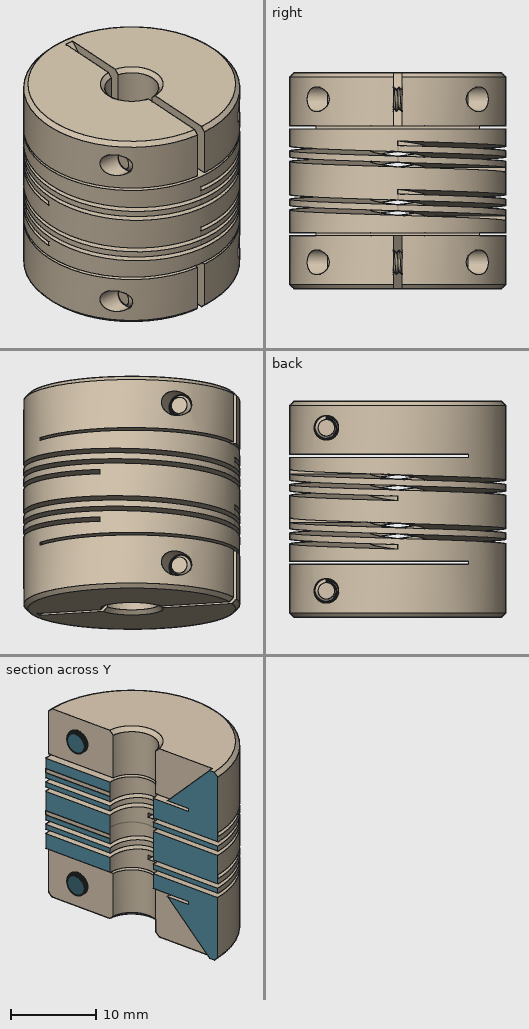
import cadquery as cq
import math

OUTER_DIAMETER = 25.4
LENGTH = 25.4
BORE_DIAMETER = 6.35
EDGE_CHAMFER = 0.5

OUTER_RADIUS = OUTER_DIAMETER / 2
HALF_LENGTH = LENGTH / 2
BORE_RADIUS = BORE_DIAMETER / 2
OVERCUT = 1.27

SLOT_HEIGHT = 0.53
SLOT_PITCH = 2.51
SLOT_TURNS = 1.25
SLOT_STARTS = 2
SLOT_GROUP_Z = 2.85
SLOT_END_ANGLE = 270.0

CROSS_SLIT_HEIGHT = 0.33
CROSS_SLIT_DEPTH = 6.43
CROSS_SLIT_X = -8.3
AXIAL_SLIT_WIDTH = 1.05
AXIAL_SLIT_X = -11.48

SCREW_X = 8.38
SCREW_END_DISTANCE = 3.12
SCREW_DIAMETER = 2.9
SCREW_CHAMFER = 0.48
THREAD_PITCH = 0.64
THREAD_TURNS = 26
THREAD_DEPTH = 0.33
SPIRAL_SPANS = 8

SCREW_LENGTH = THREAD_PITCH * THREAD_TURNS
SCREW_RADIUS = SCREW_DIAMETER / 2
SCREW_Z = HALF_LENGTH - SCREW_END_DISTANCE


def blank():
    """Bored cylinder with chamfered outer and bore edges."""
    return (
        cq.Workplane("XY")
        .circle(OUTER_RADIUS)
        .circle(BORE_RADIUS)
        .extrude(HALF_LENGTH, both=True)
        .faces("<Z or >Z")
        .edges()
        .chamfer(EDGE_CHAMFER)
    )


def helical_slot(group_z, start_angle):
    """Cutter for one helical slot, from the bore out through the outer surface."""
    rise = SLOT_PITCH * SLOT_TURNS
    inner = BORE_RADIUS - OVERCUT
    outer = OUTER_RADIUS + OVERCUT
    middle = (inner + outer) / 2
    path = cq.Wire.makeHelix(SLOT_PITCH, rise, middle, lefthand=True)
    return (
        cq.Workplane("XZ")
        .center(middle, 0)
        .rect(outer - inner, SLOT_HEIGHT)
        .sweep(path, isFrenet=True)
        .rotate((0, 0, 0), (0, 0, 1), start_angle)
        .translate((0, 0, group_z - rise / 2))
    )


def clamp_slits():
    """Cutter for the upper end: a cross slit, and an axial slit that opens into it."""
    reach = OUTER_RADIUS + OVERCUT
    slit_z = HALF_LENGTH - CROSS_SLIT_DEPTH
    cross_slit = (
        cq.Workplane("XY")
        .box(reach - CROSS_SLIT_X, 2 * reach, CROSS_SLIT_HEIGHT)
        .translate(((reach + CROSS_SLIT_X) / 2, 0, slit_z))
    )
    axial_slit = (
        cq.Workplane("XZ")
        .moveTo(AXIAL_SLIT_X - OVERCUT, HALF_LENGTH + OVERCUT)
        .lineTo(AXIAL_SLIT_X + CROSS_SLIT_DEPTH, slit_z)
        .lineTo(reach, slit_z)
        .lineTo(reach, HALF_LENGTH + OVERCUT)
        .close()
        .extrude(AXIAL_SLIT_WIDTH / 2, both=True)
    )
    return cross_slit.union(axial_slit)


def screw_hole():
    """Cutter for the upper clamp screw's hole, through the hub along Y."""
    return (
        cq.Workplane("XZ")
        .center(SCREW_X, SCREW_Z)
        .circle(SCREW_RADIUS)
        .extrude(OUTER_RADIUS, both=True)
    )


def make_hub():
    upper_clamp = clamp_slits().union(screw_hole())
    hub = blank().cut(upper_clamp).cut(upper_clamp.mirror("XY"))
    for group_z in (SLOT_GROUP_Z, -SLOT_GROUP_Z):
        for start in range(SLOT_STARTS):
            hub = hub.cut(helical_slot(group_z, SLOT_END_ANGLE + start * 360 / SLOT_STARTS))
    return hub


def thread_section(t):
    """Point on the thread's cross-section: a spiral out to the crest as t goes from 0 to 1 or -1."""
    radius = SCREW_RADIUS - THREAD_DEPTH * (1 - abs(t))
    angle = math.pi * t
    return radius * math.cos(angle), radius * math.sin(angle)


def end_chamfer():
    """Ring cutter that bevels the crest at a screw end standing on the XY plane."""
    flat_radius = SCREW_RADIUS - SCREW_CHAMFER
    return (
        cq.Workplane("XZ")
        .moveTo(flat_radius, 0)
        .lineTo(flat_radius + THREAD_PITCH, 0)
        .lineTo(flat_radius + THREAD_PITCH, THREAD_PITCH)
        .close()
        .revolve(360, (0, 0, 0), (0, 1, 0))
    )


def make_screw():
    """Headless screw, chamfered at both ends, with a right-handed V thread; axis along Y at the origin.

    Twisting the spiral cross-section one full turn per pitch makes the thread, one turn at a time.
    """
    section = (
        cq.Workplane("XY")
        .parametricCurve(thread_section, N=SPIRAL_SPANS, start=-1, stop=0, makeWire=False)
        .parametricCurve(thread_section, N=SPIRAL_SPANS, start=0, stop=1, makeWire=False)
        .wire()
    )
    turn = section.twistExtrude(THREAD_PITCH, 360)
    first_turn = turn.cut(end_chamfer())
    last_turn = turn.cut(end_chamfer().mirror("XY").translate((0, 0, THREAD_PITCH)))
    turns = [first_turn, *[turn] * (THREAD_TURNS - 2), last_turn]
    stack = [piece.val().translate((0, 0, index * THREAD_PITCH)) for index, piece in enumerate(turns)]
    rod = stack[0].fuse(*stack[1:]).Solids()[0]
    return rod.translate((0, 0, -SCREW_LENGTH / 2)).rotate((0, 0, 0), (1, 0, 0), 90)


hub = make_hub()
screw = make_screw()
screws = [screw.translate((SCREW_X, 0, z)) for z in (SCREW_Z, -SCREW_Z)]

result = cq.Compound.makeCompound([hub.val(), *screws])